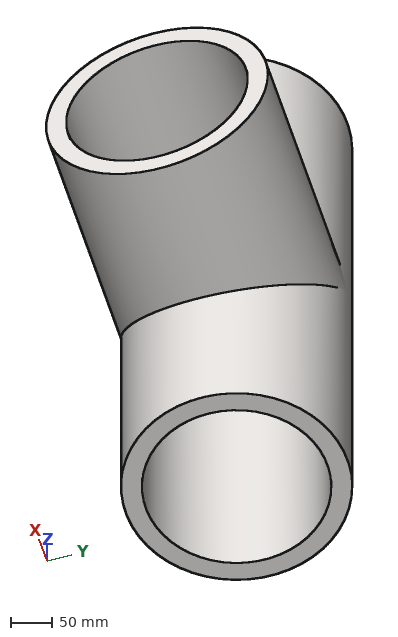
import cadquery as cq

outer_diameter = 280.0
wall_thickness = 25.4
run_length = 690.0
branch_reach = 340.0

bore_diameter = outer_diameter - 2 * wall_thickness


def tee_solid(diameter):
    """Union of a run cylinder along Z and a branch cylinder along +X."""
    run = cq.Workplane("XY").circle(diameter / 2).extrude(run_length / 2, both=True)
    branch = cq.Workplane("YZ").circle(diameter / 2).extrude(branch_reach)
    return run.union(branch)


result = tee_solid(outer_diameter).cut(tee_solid(bore_diameter))